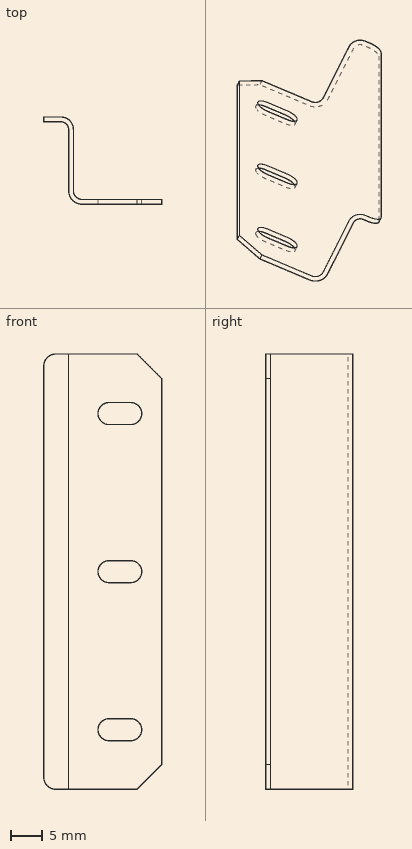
import cadquery as cq

width = 19.0
depth = 14.05
height = 70.0

thickness = 0.8
front_bend_inner_radius = 1.4
rear_bend_inner_radius = 1.2
web_offset = 4.0

rear_corner_radius = 2.0
front_corner_chamfer = 4.0

slot_length = 7.0
slot_width = 3.5
slot_pitch = 25.4
slot_count = 3
slot_edge_distance = 6.75

web_far_face = web_offset + thickness
slot_x = width - slot_edge_distance
front_bend_outer_radius = front_bend_inner_radius + thickness
rear_bend_outer_radius = rear_bend_inner_radius + thickness


def make_bent_sheet():
    """Z profile in the XY plane, extruded along Z and rounded at its bends."""
    sheet = (
        cq.Workplane("XY")
        .workplane(offset=-height / 2)
        .moveTo(width, 0)
        .lineTo(web_offset, 0)
        .lineTo(web_offset, depth - thickness)
        .lineTo(0, depth - thickness)
        .lineTo(0, depth)
        .lineTo(web_far_face, depth)
        .lineTo(web_far_face, thickness)
        .lineTo(width, thickness)
        .close()
        .extrude(height)
    )
    bends = [
        (web_offset, 0, front_bend_outer_radius),
        (web_far_face, thickness, front_bend_inner_radius),
        (web_offset, depth - thickness, rear_bend_inner_radius),
        (web_far_face, depth, rear_bend_outer_radius),
    ]
    for x, y, radius in bends:
        bend_edge = cq.selectors.NearestToPointSelector((x, y, 0))
        sheet = sheet.edges("|Z").edges(bend_edge).fillet(radius)
    return sheet


def trim_flange_corners(sheet):
    """Round the rear flange corners and chamfer the front flange corners."""
    sheet = sheet.faces("<X").edges("|Y").fillet(rear_corner_radius)
    return sheet.faces(">X").edges("|Y").chamfer(front_corner_chamfer)


def make_slot_cutters():
    """Horizontal slots evenly spaced about mid-height, through the front flange."""
    middle = (slot_count - 1) / 2
    centres = [(slot_x, (index - middle) * slot_pitch) for index in range(slot_count)]
    return (
        cq.Workplane("XZ", origin=(0, thickness, 0))
        .pushPoints(centres)
        .slot2D(slot_length, slot_width)
        .extrude(thickness)
    )


result = trim_flange_corners(make_bent_sheet()).cut(make_slot_cutters())